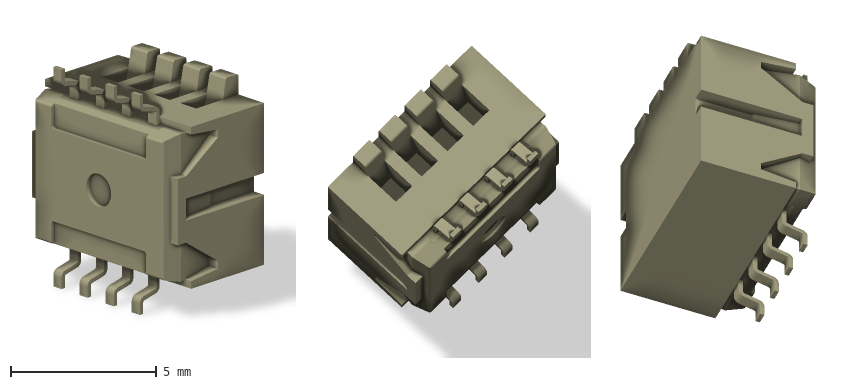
import cadquery as cq
import math


positions = 4
pitch = 1.27

cover_width = 7.1
cover_height = 5.9
cover_back = 4.6
cover_front = 1.05

parting_y = 0.8
base_width = 6.6
base_height = 5.4
base_front = 0.1
base_back = 2.5
base_back_bevel = 0.1
bevel_angle = 45.0
back_draft = 6.0
front_taper = 15.0
front_edge_radius = 0.1

flat_width = 4.8
flat_height = 5.34
flat_front = 0.63

recess_width = 4.59
recess_inner_z = 1.68
recess_depth = 0.16
recess_corner_radius = 0.1
dimple_diameter = 1.2
dimple_depth = 0.2

tab_height = 2.42
tab_thickness = 0.37
tab_front = 0.4
window_tip_y = 2.35
window_tip_lower_z = 2.25
groove_height = 0.8
groove_depth = 0.5

slot_width = 0.8
slot_front = 2.54
slot_floor_z = 1.6
actuator_top_z = 3.7
actuator_top_depth = 0.61
actuator_floor_depth = 1.03
actuator_edge_radius = 0.1

lead_span = 8.0
lead_width = 0.4
lead_thickness = 0.16
lead_slope = 12.0
lead_shoulder_z = 3.3
lead_inner_radius = 0.08

half_width = cover_width / 2
half_height = cover_height / 2
position_x = [(i - (positions - 1) / 2) * pitch for i in range(positions)]
groove_floor_x = half_width - groove_depth


def box(x_range, y_range, z_range):
    """Axis-aligned box between pairs of limits."""
    size = [high - low for low, high in (x_range, y_range, z_range)]
    corner = (x_range[0], y_range[0], z_range[0])
    return cq.Workplane("XY").box(*size, centered=False).translate(corner)


def side_prism(points, x_start, length):
    """Prism along +X from an outline given as (y, z) points."""
    return cq.Workplane("YZ", origin=(x_start, 0, 0)).polyline(points).close().extrude(length)


def both_sides(shape, plane):
    """The shape together with its mirror image."""
    return shape.union(shape.mirror(plane))


def inset(distance, angle):
    """How far a face leaning by the angle moves inwards over the distance."""
    return distance * math.tan(math.radians(angle))


def make_window_cutter():
    """Wedge-shaped opening above one tab, with its outer edge along the base."""
    tip_upper_z = base_height / 2 - inset(window_tip_y - parting_y, back_draft)
    outline = [
        (parting_y, base_height / 2),
        (window_tip_y, tip_upper_z),
        (window_tip_y, window_tip_lower_z),
        (parting_y, tab_height / 2),
    ]
    return side_prism(outline, groove_floor_x, groove_depth)


def make_cover():
    """Outer shell with its clip tabs, side windows and side grooves."""
    cover = box((-half_width, half_width), (cover_front, cover_back), (-half_height, half_height))

    tab_half = tab_height / 2
    window_slope = (window_tip_lower_z - tab_half) / (window_tip_y - parting_y)
    wall_half = tab_half + window_slope * (cover_front - parting_y)
    tab_outline = [
        (cover_front, wall_half),
        (parting_y, tab_half),
        (tab_front, tab_half),
        (tab_front, -tab_half),
        (parting_y, -tab_half),
        (cover_front, -wall_half),
    ]
    tab = side_prism(tab_outline, half_width - tab_thickness, tab_thickness)

    windows = both_sides(make_window_cutter(), "XY")
    groove_half = groove_height / 2
    groove = box((groove_floor_x, half_width), (parting_y, cover_back), (-groove_half, groove_half))

    cover = cover.union(both_sides(tab, "YZ"))
    return cover.cut(both_sides(windows.union(groove), "YZ"))


def tapered_block(width, height, y_start, length, angle, towards_back):
    """Rectangular block that narrows away from its start plane."""
    direction = 1 if towards_back else -1
    plane = cq.Plane(origin=(0, y_start, 0), xDir=(1, 0, 0), normal=(0, direction, 0))
    return cq.Workplane(plane).rect(width, height).extrude(length, taper=angle)


def make_base():
    """Base insert with its lead flats and front-face details."""
    front = tapered_block(base_width, base_height, parting_y, parting_y - base_front, front_taper, False)
    front = front.faces("<Y").edges().fillet(front_edge_radius)

    back_length = base_back - base_back_bevel - parting_y
    back = tapered_block(base_width, base_height, parting_y, back_length, back_draft, True)
    narrowing = 2 * inset(back_length, back_draft)
    bevel = tapered_block(
        base_width - narrowing,
        base_height - narrowing,
        base_back - base_back_bevel,
        base_back_bevel,
        bevel_angle,
        True,
    )
    base = front.union(back).union(bevel)

    flat_cut = box(
        (-flat_width / 2, flat_width / 2), (flat_front, cover_front), (flat_height / 2, base_height / 2)
    )
    flat_pad = box(
        (-flat_width / 2, flat_width / 2), (flat_front, cover_front), (-flat_height / 2, flat_height / 2)
    )
    recess = box(
        (-recess_width / 2, recess_width / 2),
        (base_front, base_front + recess_depth),
        (recess_inner_z, half_height),
    )
    recess = recess.edges("|Y and <Z").fillet(recess_corner_radius)
    dimple = (
        cq.Workplane("XZ", origin=(0, base_front + dimple_depth, 0))
        .circle(dimple_diameter / 2)
        .extrude(dimple_depth)
    )
    base = base.cut(both_sides(flat_cut, "XY")).union(flat_pad)
    return base.cut(both_sides(recess, "XY")).cut(dimple)


def make_lead(x):
    """Gull-wing lead on the +Z side: stem, sloping shoulder and foot."""
    half_thickness = lead_thickness / 2
    stem_y = parting_y + half_thickness
    foot_y = half_thickness
    foot_bend_z = lead_shoulder_z + inset(stem_y - foot_y, lead_slope)
    mitre = half_thickness * math.tan(math.radians((90 - lead_slope) / 2))
    root_z = flat_height / 2 - lead_thickness
    tip_z = lead_span / 2
    outline = [
        (parting_y, root_z),
        (parting_y, lead_shoulder_z - mitre),
        (0, foot_bend_z - mitre),
        (0, tip_z),
        (lead_thickness, tip_z),
        (lead_thickness, foot_bend_z + mitre),
        (parting_y + lead_thickness, lead_shoulder_z + mitre),
        (parting_y + lead_thickness, root_z),
    ]
    lead = side_prism(outline, x - lead_width / 2, lead_width)

    def bend_edge(corner):
        return cq.selectors.NearestToPointSelector((x, *corner))

    outer_radius = lead_inner_radius + lead_thickness
    for corner in (outline[1], outline[5]):
        lead = lead.edges(bend_edge(corner)).fillet(lead_inner_radius)
    for corner in (outline[2], outline[6]):
        lead = lead.edges(bend_edge(corner)).fillet(outer_radius)
    return lead


def make_slot(x):
    """Actuator slot, open at the top and at the back."""
    return box(
        (x - slot_width / 2, x + slot_width / 2), (slot_front, cover_back), (slot_floor_z, half_height)
    )


def make_housing():
    """Cover, base and leads as one solid with the actuator slots cut in."""
    housing = make_cover().union(make_base())
    for x in position_x:
        housing = housing.union(both_sides(make_lead(x), "XY"))
        housing = housing.cut(make_slot(x))
    return housing


def make_actuator(x):
    """Lever that fills the back of its slot and has a sloping front face."""
    outline = [
        (cover_back, slot_floor_z),
        (cover_back, actuator_top_z),
        (cover_back - actuator_top_depth, actuator_top_z),
        (cover_back - actuator_floor_depth, slot_floor_z),
    ]
    actuator = side_prism(outline, x - slot_width / 2, slot_width)
    return actuator.faces(">Z").edges("|X").fillet(actuator_edge_radius)


housing = make_housing()
actuators = [make_actuator(x) for x in position_x]

result = cq.Compound.makeCompound([housing.val(), *[actuator.val() for actuator in actuators]])